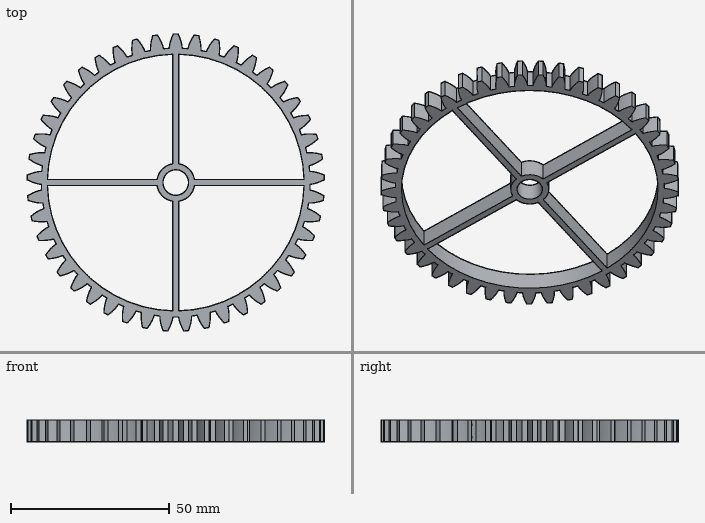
import cadquery as cq
import math

TOOTH_COUNT = 45
OUTER_DIAMETER = 94.0
PRESSURE_ANGLE = math.radians(20)
ADDENDUM = 1.0
DEDENDUM = 1.25
FLANK_STEPS = 4
FIRST_TOOTH_ANGLE = math.radians(90)

THICKNESS = 7.0
RIM_INNER_DIAMETER = 81.0
HUB_DIAMETER = 12.0
BORE_DIAMETER = 8.0
SPOKE_WIDTH = 2.0
SPOKE_ANGLES = (0, 90)
RIM_OVERLAP = 0.5

MODULE = OUTER_DIAMETER / (TOOTH_COUNT + 2 * ADDENDUM)
PITCH_RADIUS = MODULE * TOOTH_COUNT / 2
TIP_RADIUS = OUTER_DIAMETER / 2
ROOT_RADIUS = PITCH_RADIUS - DEDENDUM * MODULE
BASE_RADIUS = PITCH_RADIUS * math.cos(PRESSURE_ANGLE)
TOOTH_PITCH = 2 * math.pi / TOOTH_COUNT


def polar(radius, angle):
    return (radius * math.cos(angle), radius * math.sin(angle))


def tooth_half_angle(radius):
    """Half the angle that an involute tooth covers at the given radius."""
    pressure = math.acos(BASE_RADIUS / radius)
    involute = math.tan(pressure) - pressure
    pitch_involute = math.tan(PRESSURE_ANGLE) - PRESSURE_ANGLE
    return TOOTH_PITCH / 4 + pitch_involute - involute


def flank(center, side):
    """Points of one flank from root to tip; side is -1 or +1."""
    step = (TIP_RADIUS - ROOT_RADIUS) / FLANK_STEPS
    radii = [ROOT_RADIUS + i * step for i in range(FLANK_STEPS + 1)]
    return [polar(r, center + side * tooth_half_angle(r)) for r in radii]


def make_toothed_disc():
    outline = cq.Workplane("XY").moveTo(*flank(FIRST_TOOTH_ANGLE, -1)[0])
    for i in range(TOOTH_COUNT):
        center = FIRST_TOOTH_ANGLE + i * TOOTH_PITCH
        rising = flank(center, -1)
        falling = flank(center, 1)[::-1]
        next_root = flank(center + TOOTH_PITCH, -1)[0]
        outline = (
            outline.spline(rising[1:], includeCurrent=True)
            .threePointArc(polar(TIP_RADIUS, center), falling[0])
            .spline(falling[1:], includeCurrent=True)
            .threePointArc(polar(ROOT_RADIUS, center + TOOTH_PITCH / 2), next_root)
        )
    return outline.close().extrude(THICKNESS)


def make_disc(diameter):
    return cq.Workplane("XY").circle(diameter / 2).extrude(THICKNESS)


def make_spoke_bar(angle):
    length = RIM_INNER_DIAMETER + 2 * RIM_OVERLAP
    bar = cq.Workplane("XY").rect(length, SPOKE_WIDTH).extrude(THICKNESS)
    return bar.rotate((0, 0, 0), (0, 0, 1), angle)


result = make_toothed_disc().cut(make_disc(RIM_INNER_DIAMETER))
for spoke_angle in SPOKE_ANGLES:
    result = result.union(make_spoke_bar(spoke_angle))
result = result.union(make_disc(HUB_DIAMETER)).cut(make_disc(BORE_DIAMETER))